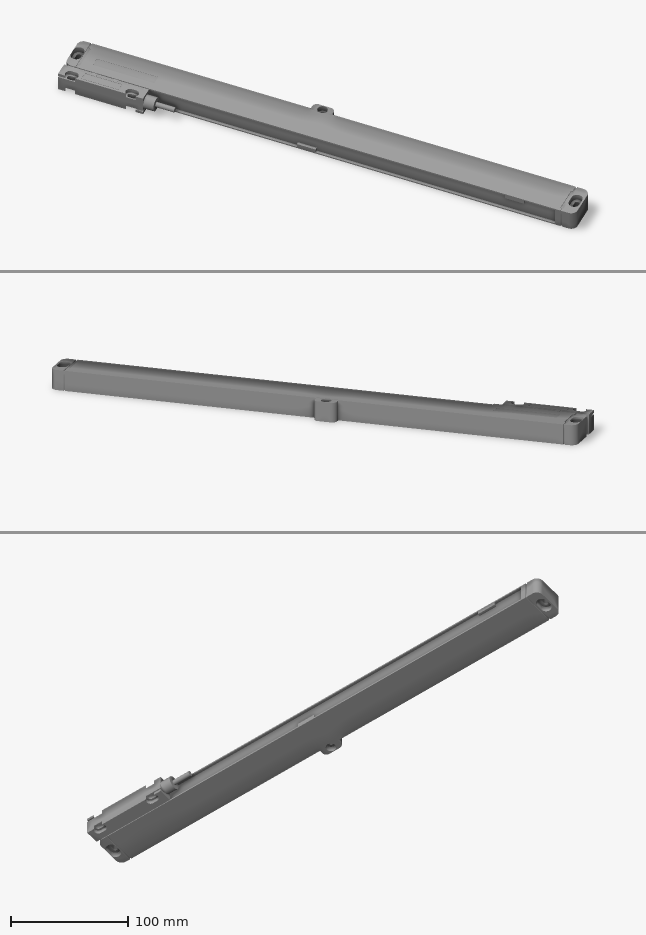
import cadquery as cq

length = 475.0
height = 18.0
housing_front = 13.6
housing_back = 46.4
housing_mid_y = (housing_front + housing_back) / 2
end_corner_radius = 6.0

recess_start = 19.0
recess_end = 456.4
recess_depth = 2.5
lip_thickness = 1.3

tab_length = 17.5
tab_height = 4.6
upper_tab_x = 419.0
lower_tab_x = 225.0

left_block_length = 10.2
right_block_length = 12.0
groove_width = 1.4
groove_depth = 0.6
relief_width = 1.4
relief_front = housing_front + 3.0
relief_back = 39.5

left_slot_x = 5.0
right_slot_x = length - 6.4
end_slot_travel = 5.8
end_slot_diameter = 4.4
end_bore_diameter = 9.8
housing_bore_depth = 5.6

label_x = (23.0, 80.0)
label_y = (21.8, 30.2)
label_depth = 0.2

lug_x = 224.8
lug_width = 20.0
lug_back = 54.0
lug_corner_radius = 4.4
lug_root = housing_back - 1.4
lug_top_drop = 0.4
lug_hole_y = 48.9
lug_hole_diameter = 4.4
lug_bore_diameter = 9.0

head_length = 79.0
head_depth = 13.0
shelf_front = 10.0
shelf_drop = 0.3

head_slot_xs = (11.4, 67.5)
head_slot_y = 3.2
head_slot_travel = 4.0
head_slot_diameter = 4.4
head_bore_diameter = 8.0
head_bore_depth = 4.0

slit_depth = 6.4
slit_height = 1.4

cover_x = (20.8, 56.4)
cover_y = (1.0, 9.6)
cover_corner_radius = 1.6
cover_groove_width = 1.2
cover_groove_depth = 0.3

pad_xs = (28.6, 48.7)
pad_length = 4.0

cable_y = 6.3
cable_z = 9.6
bushing_diameter = 12.4
bushing_length = 9.6
cable_diameter = 4.6
cable_end = 106.0


def box(x_range, y_range, z_range):
    """Block filling the given X, Y and Z ranges."""
    size = [end - start for start, end in (x_range, y_range, z_range)]
    corner = (x_range[0], y_range[0], z_range[0])
    return cq.Workplane("XY").box(*size, centered=False).translate(corner)


def slot(x, y, travel, diameter, bottom, top, angle):
    """Upright round-ended slot; angle 0 runs along X and 90 along Y."""
    profile = cq.Workplane("XY", origin=(x, y, bottom)).slot2D(travel + diameter, diameter, angle)
    return profile.extrude(top - bottom)


def bored_slot(x, y, travel, diameter, bore_diameter, bore_depth, angle):
    """Through slot with an equal counterbore at the top and the bottom."""
    through = slot(x, y, travel, diameter, 0, height, angle)
    lower = slot(x, y, travel, bore_diameter, 0, bore_depth, angle)
    upper = slot(x, y, travel, bore_diameter, height - bore_depth, height, angle)
    return through.union(lower).union(upper)


def make_lug():
    lug = box((lug_x - lug_width / 2, lug_x + lug_width / 2), (lug_root, lug_back), (0, height))
    return lug.edges("|Z and >Y").fillet(lug_corner_radius)


def lug_seat():
    """Shallow drop of the lug's top face, running a little way into the housing."""
    x_range = (lug_x - lug_width / 2, lug_x + lug_width / 2)
    return box(x_range, (lug_root, lug_back), (height - lug_top_drop, height))


def lug_hole():
    hole = cq.Workplane("XY", origin=(lug_x, lug_hole_y, 0)).circle(lug_hole_diameter / 2).extrude(height)
    for bottom in (0, height - housing_bore_depth):
        bore = cq.Workplane("XY", origin=(lug_x, lug_hole_y, bottom))
        hole = hole.union(bore.circle(lug_bore_diameter / 2).extrude(housing_bore_depth))
    return hole


def front_recess():
    """Recess between the lips, less the two tabs."""
    depth_range = (housing_front, housing_front + recess_depth)
    recess = box((recess_start, recess_end), depth_range, (lip_thickness, height - lip_thickness))
    for tab_x, tab_z in (
        (upper_tab_x, (height - tab_height, height)),
        (lower_tab_x, (0, tab_height)),
    ):
        recess = recess.cut(box((tab_x - tab_length / 2, tab_x + tab_length / 2), depth_range, tab_z))
    return recess


def end_groove(start):
    """Shallow groove running round the whole section of the housing."""
    x_range = (start, start + groove_width)
    core = box(
        x_range,
        (housing_front + groove_depth, housing_back - groove_depth),
        (groove_depth, height - groove_depth),
    )
    return box(x_range, (housing_front, housing_back), (0, height)).cut(core)


def end_relief(start):
    """Shallow relief in the top face beside an end groove."""
    x_range = (start, start + relief_width)
    return box(x_range, (relief_front, relief_back), (height - groove_depth, height))


def make_housing():
    body = box((0, length), (housing_front, housing_back), (0, height))
    body = body.edges("|Z").fillet(end_corner_radius)
    body = body.cut(front_recess())

    left_groove_x = left_block_length
    right_groove_x = length - right_block_length - groove_width
    for groove_x in (left_groove_x, right_groove_x):
        body = body.cut(end_groove(groove_x))
    for relief_x in (left_groove_x + groove_width, right_groove_x - relief_width):
        body = body.cut(end_relief(relief_x))

    for slot_x in (left_slot_x, right_slot_x):
        body = body.cut(
            bored_slot(
                slot_x, housing_mid_y, end_slot_travel, end_slot_diameter,
                end_bore_diameter, housing_bore_depth, 90,
            )
        )
    body = body.cut(box(label_x, label_y, (height - label_depth, height)))
    return body.union(make_lug()).cut(lug_seat()).cut(lug_hole())


def cover_groove():
    """Rounded rectangular groove around the cover field."""
    field = box(cover_x, cover_y, (height - cover_groove_depth, height))
    field = field.edges("|Z").fillet(cover_corner_radius)
    inner = box(
        (cover_x[0] + cover_groove_width, cover_x[1] - cover_groove_width),
        (cover_y[0] + cover_groove_width, cover_y[1] - cover_groove_width),
        (height - cover_groove_depth, height),
    )
    inner = inner.edges("|Z").fillet(cover_corner_radius - cover_groove_width)
    return field.cut(inner)


def corner_slits():
    """Two slits at opposite corners, level with the counterbore floors."""
    left_x, right_x = head_slot_xs
    upper_floor = height - head_bore_depth
    upper = box((0, left_x), (0, slit_depth), (upper_floor, upper_floor + slit_height))
    lower = box(
        (right_x, head_length), (0, slit_depth),
        (head_bore_depth - slit_height, head_bore_depth),
    )
    return upper.union(lower)


def back_shelf():
    """Slight step down along the back of the head, less the pads."""
    z_range = (height - shelf_drop, height)
    step = box((0, head_length), (shelf_front, head_depth), z_range)
    for pad_x in pad_xs:
        pad = box((pad_x - pad_length / 2, pad_x + pad_length / 2), (shelf_front, head_depth), z_range)
        step = step.cut(pad)
    return step


def cable_cylinder(diameter, end):
    """Round bar along X from the end face of the head."""
    section = cq.Workplane("YZ", origin=(head_length, cable_y, cable_z)).circle(diameter / 2)
    return section.extrude(end - head_length)


def make_head():
    head = box((0, head_length), (0, head_depth), (0, height))
    for slot_x in head_slot_xs:
        head = head.cut(
            bored_slot(
                slot_x, head_slot_y, head_slot_travel, head_slot_diameter,
                head_bore_diameter, head_bore_depth, 0,
            )
        )
    head = head.cut(corner_slits()).cut(cover_groove()).cut(back_shelf())
    head = head.union(cable_cylinder(bushing_diameter, head_length + bushing_length))
    return head.union(cable_cylinder(cable_diameter, cable_end))


scale_housing = make_housing()
reader_head = make_head()
result = cq.Compound.makeCompound([scale_housing.val(), reader_head.val()])